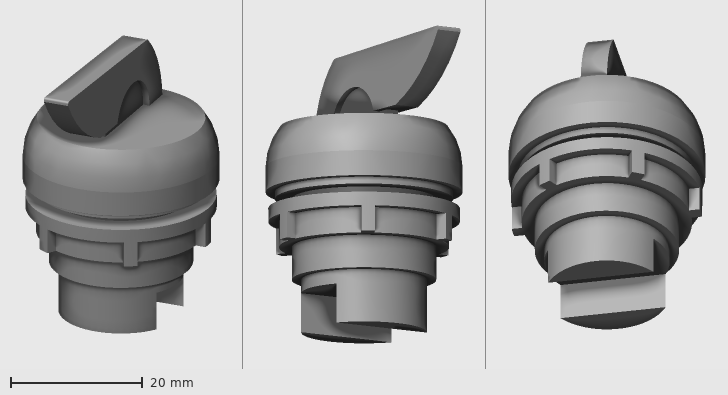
import cadquery as cq

leg_top_z = 6.0
plug_top_z = 8.1
tab_bottom_z = 13.1
tab_top_z = 17.0
flange_top_z = 19.1
lip_bottom_z = 20.55
cap_bottom_z = 21.58
dome_bottom_z = 25.4
cap_top_z = 31.55
handle_underside_z = 33.05

cap_radius = 29.9 / 2
cap_top_radius = 12.8
lip_radius = 13.55
neck_radius = 10.95
flange_radius = 14.55
collar_radius = 12.9
plug_radius = 9.53

leg_gap = 9.95

tab_count = 6
tab_width = 2.05

handle_thickness = 4.05
handle_web_thickness = 1.95
handle_back_y = 10.75
handle_shoulder_y = 5.25
handle_shoulder_z = 42.7
handle_tip_y = cap_radius - 38.95
handle_tip_z = 43.5 + 0.01
handle_tip_edge_z = 42.85
handle_underside_end_y = -12.0
handle_web_end_y = -8.0
recess_radius = 6.0
shoulder_fillet = 0.85
tip_fillet = 0.35


def disc(radius, bottom_z, top_z):
    return cq.Workplane("XY").workplane(offset=bottom_z).circle(radius).extrude(top_z - bottom_z)


def make_cap():
    """Flat-topped cap with a convex shoulder, revolved about Z."""
    shoulder_mid = (14.35, 28.7)
    return (
        cq.Workplane("XZ")
        .moveTo(0, cap_bottom_z)
        .lineTo(cap_radius, cap_bottom_z)
        .lineTo(cap_radius, dome_bottom_z)
        .threePointArc(shoulder_mid, (cap_top_radius, cap_top_z))
        .lineTo(0, cap_top_z)
        .close()
        .revolve(360, (0, 0, 0), (0, 1, 0))
    )


def make_legs():
    """Round plug split by a gap along X into two legs."""
    gap = cq.Workplane("XY").box(2 * plug_radius, leg_gap, leg_top_z, centered=(True, True, False))
    return disc(plug_radius, 0, plug_top_z).cut(gap)


def make_flange():
    """Flange with radial tabs below it, left standing around a smaller collar."""
    tab_height = tab_top_z - tab_bottom_z
    clearance = disc(cap_radius, tab_bottom_z, tab_top_z).cut(disc(collar_radius, tab_bottom_z, tab_top_z))
    for index in range(tab_count):
        tab = cq.Workplane("XY").box(cap_radius, tab_width, tab_height, centered=(False, True, False))
        tab = tab.translate((0, 0, tab_bottom_z))
        clearance = clearance.cut(tab.rotate((0, 0, 0), (0, 0, 1), index * 360 / tab_count))
    return disc(flange_radius, tab_bottom_z, flange_top_z).cut(clearance)


def edge_near(y, z):
    """Selector for the edge along X closest to the given place on the handle."""
    return cq.selectors.NearestToPointSelector((0, y, z))


def make_handle():
    """Lever with an overhanging nose and a rounded back."""
    back_mid = (9.22, 37.55)
    nose_mid = (-18.85, 36.9)
    lever = (
        cq.Workplane("YZ")
        .moveTo(handle_web_end_y, cap_top_z)
        .lineTo(handle_back_y, cap_top_z)
        .threePointArc(back_mid, (handle_shoulder_y, handle_shoulder_z))
        .lineTo(handle_tip_y, handle_tip_z)
        .lineTo(handle_tip_y, handle_tip_edge_z)
        .threePointArc(nose_mid, (handle_underside_end_y, handle_underside_z))
        .lineTo(handle_web_end_y, handle_underside_z)
        .close()
        .extrude(handle_thickness / 2, both=True)
    )
    lever = lever.edges(edge_near(handle_shoulder_y, handle_shoulder_z)).fillet(shoulder_fillet)
    return lever.edges(edge_near(handle_tip_y, handle_tip_z)).fillet(tip_fillet)


def make_recess_cutter():
    """Half-round recess and the clearance in front of it, on both sides of a thin web."""
    cutter_top_z = cap_top_z + recess_radius
    arch = cq.Workplane("YZ").center(0, cap_top_z).circle(recess_radius).extrude(handle_thickness, both=True)
    clearance = (
        cq.Workplane("XY")
        .box(
            2 * handle_thickness,
            -handle_web_end_y,
            handle_underside_z - cap_top_z,
            centered=(True, False, False),
        )
        .translate((0, handle_web_end_y, cap_top_z))
    )
    web = cq.Workplane("XY").box(handle_web_thickness, 2 * cap_radius, 2 * cutter_top_z)
    above_cap = (
        cq.Workplane("XY")
        .workplane(offset=cap_top_z)
        .rect(2 * cap_radius, 2 * cap_radius)
        .extrude(recess_radius)
    )
    return arch.union(clearance).cut(web).intersect(above_cap)


result = make_cap()
result = result.union(disc(lip_radius, lip_bottom_z, cap_bottom_z))
result = result.union(disc(neck_radius, plug_top_z, lip_bottom_z))
result = result.union(make_flange())
result = result.union(make_legs())
result = result.union(make_handle().cut(make_recess_cutter()))